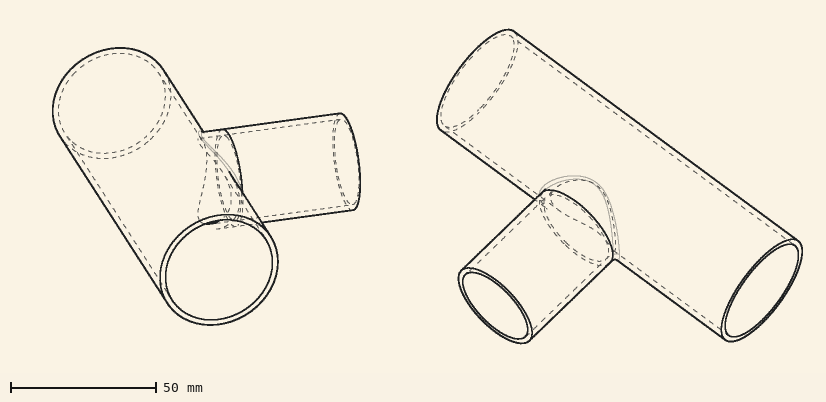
import cadquery as cq

WALL = 2.0
RUN_DIAMETER = 42.4
RUN_LENGTH = 130.0
BRANCH_DIAMETER = 33.7
BRANCH_END = 65.0
COLLAR_HEIGHT = 1.6
JUNCTION_FILLET = 1.5

RUN_RADIUS = RUN_DIAMETER / 2
RUN_BORE_RADIUS = RUN_RADIUS - WALL
BRANCH_RADIUS = BRANCH_DIAMETER / 2
BRANCH_BORE_RADIUS = BRANCH_RADIUS - WALL
SEAM_Y = RUN_RADIUS + COLLAR_HEIGHT


def run_cylinder(radius):
    """Solid cylinder along X, centred on the origin."""
    return cq.Workplane("YZ").circle(radius).extrude(RUN_LENGTH / 2, both=True)


def branch_cylinder(radius, start_y, end_y):
    """Solid cylinder along +Y between two distances from the run axis."""
    plane = cq.Workplane("XZ", origin=(0, start_y, 0))
    return plane.circle(radius).extrude(start_y - end_y)


def make_run_pipe():
    """Run pipe with a short outlet collar, rounded where the two outer surfaces meet."""
    outside = run_cylinder(RUN_RADIUS).union(branch_cylinder(BRANCH_RADIUS, 0, SEAM_Y))
    junction_edge = cq.selectors.BoxSelector(
        (-BRANCH_DIAMETER, 0, -BRANCH_DIAMETER),
        (BRANCH_DIAMETER, RUN_RADIUS, BRANCH_DIAMETER),
    )
    outside = outside.edges(junction_edge).fillet(JUNCTION_FILLET)
    outlet_bore = branch_cylinder(BRANCH_BORE_RADIUS, 0, SEAM_Y)
    return outside.cut(run_cylinder(RUN_BORE_RADIUS)).cut(outlet_bore)


def make_branch_pipe():
    """Plain branch pipe standing on the collar's end face."""
    outside = branch_cylinder(BRANCH_RADIUS, SEAM_Y, BRANCH_END)
    return outside.cut(branch_cylinder(BRANCH_BORE_RADIUS, SEAM_Y, BRANCH_END))


run_pipe = make_run_pipe()
branch_pipe = make_branch_pipe()

result = cq.Compound.makeCompound([run_pipe.val(), branch_pipe.val()])